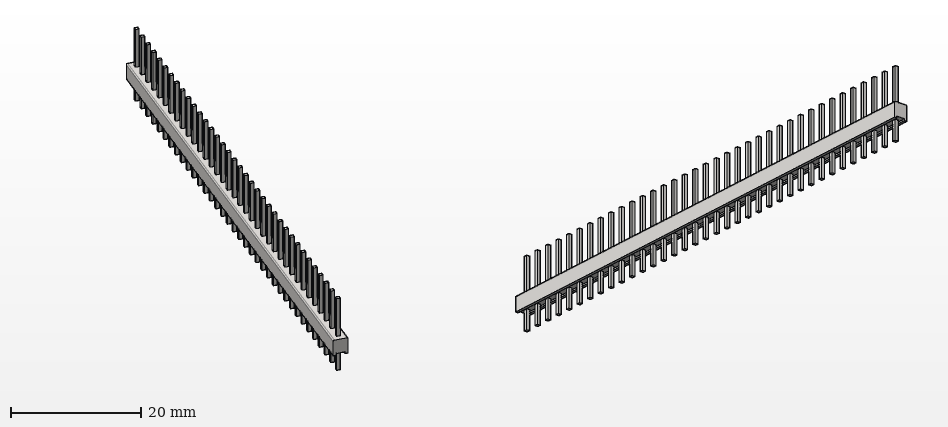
import cadquery as cq

pin_count = 36
strip_length = 91.4
strip_width = 2.5
strip_height = 2.7
top_edge_radius = 0.2
pitch = strip_length / pin_count

channel_width = 1.5
channel_depth = 0.3

pin_side = 0.6
pin_length = 12.7
tail_length = 3.3


def make_strip():
    """Strip standing on Z = 0, rounded along its long top edges and channelled underneath."""
    bar = cq.Workplane("XY").box(
        strip_length, strip_width, strip_height, centered=(True, True, False)
    )
    bar = bar.edges("|X and >Z").fillet(top_edge_radius)
    channel = cq.Workplane("XY").rect(strip_length, channel_width).extrude(channel_depth)
    return bar.cut(channel)


def make_pins():
    """Row of identical square pins, one in the middle of each pitch length."""
    return (
        cq.Workplane("XY", origin=(0, 0, -tail_length))
        .rarray(pitch, strip_width, pin_count, 1)
        .rect(pin_side, pin_side)
        .extrude(pin_length)
    )


result = make_strip().union(make_pins())